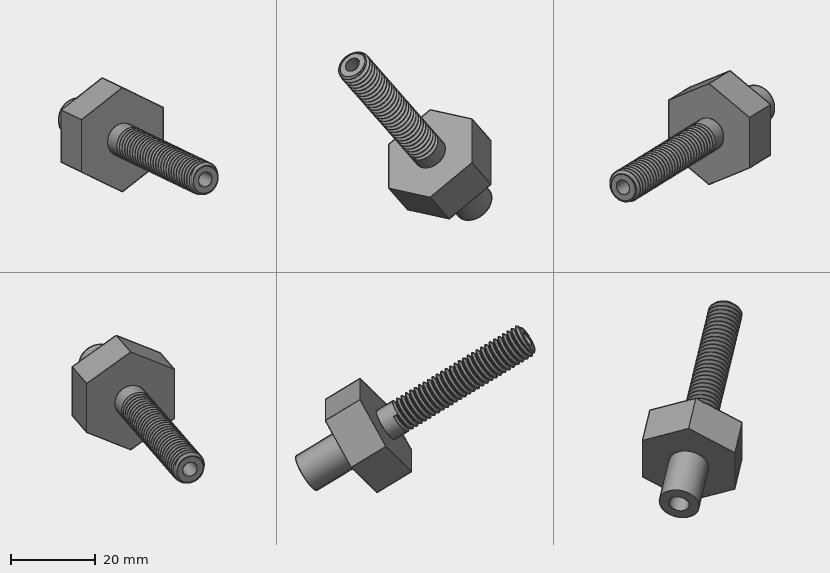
import cadquery as cq
import math

total_length = 62.6
tube_length = 12.65
tube_diameter = 9.6
hex_length = 9.8
hex_across_flats = 22.2
stud_diameter = 8.1

bore_diameter = 3.65
counterbore_diameter = 4.9
counterbore_depth = tube_length

thread_pitch = 1.25
thread_depth = 0.8
thread_start = 26.7
thread_lead_in_angle = 30.0
thread_root_width = 0.2
thread_flank_angle = 30.0
end_chamfer = 0.7

hex_end = tube_length + hex_length


def cylinder(diameter, start, end):
    """Solid cylinder on the X axis between two stations."""
    return cq.Workplane("YZ", origin=(start, 0, 0)).circle(diameter / 2).extrude(end - start)


def hexagon():
    """Hexagonal body with two corners on the Z axis."""
    across_corners = hex_across_flats / math.cos(math.radians(30))
    prism = cq.Workplane("YZ", origin=(tube_length, 0, 0)).polygon(6, across_corners).extrude(hex_length)
    return prism.rotate((0, 0, 0), (1, 0, 0), 90)


def thread_groove():
    """Right-handed V groove with a flat root, starting near the bottom of the stud and leaving its free end."""
    root_radius = stud_diameter / 2 - thread_depth
    clearance = 0.03
    mouth_radius = stud_diameter / 2 + clearance
    root_half = thread_root_width / 2
    mouth_half = root_half + (mouth_radius - root_radius) * math.tan(math.radians(thread_flank_angle))
    groove_length = total_length - thread_start + thread_pitch

    helix = cq.Wire.makeHelix(thread_pitch, groove_length, root_radius)
    profile = cq.Workplane("XZ").polyline([
        (root_radius, -root_half),
        (mouth_radius, -mouth_half),
        (mouth_radius, mouth_half),
        (root_radius, root_half),
    ]).close()
    groove = profile.sweep(cq.Workplane(helix), isFrenet=True)
    groove = groove.rotate((0, 0, 0), (0, 1, 0), 90).rotate((0, 0, 0), (1, 0, 0), -thread_lead_in_angle)
    lead_in_travel = thread_pitch * thread_lead_in_angle / 360
    return groove.translate((thread_start - lead_in_travel, 0, 0))


def threaded_stud():
    """Threaded blank trimmed to length by an envelope that also chamfers the free end."""
    blank_overrun = 3 * thread_pitch
    envelope_margin = 1.25
    blank = cylinder(stud_diameter, hex_end, total_length + blank_overrun)
    envelope = cylinder(stud_diameter + 2 * envelope_margin, hex_end, total_length)
    envelope = envelope.faces(">X").chamfer(end_chamfer + envelope_margin)
    return blank.cut(thread_groove()).intersect(envelope)


tube = cylinder(tube_diameter, 0, tube_length)
bore = cylinder(bore_diameter, 0, total_length)
counterbore = cylinder(counterbore_diameter, 0, counterbore_depth)

result = threaded_stud().union(hexagon()).union(tube).cut(bore).cut(counterbore)